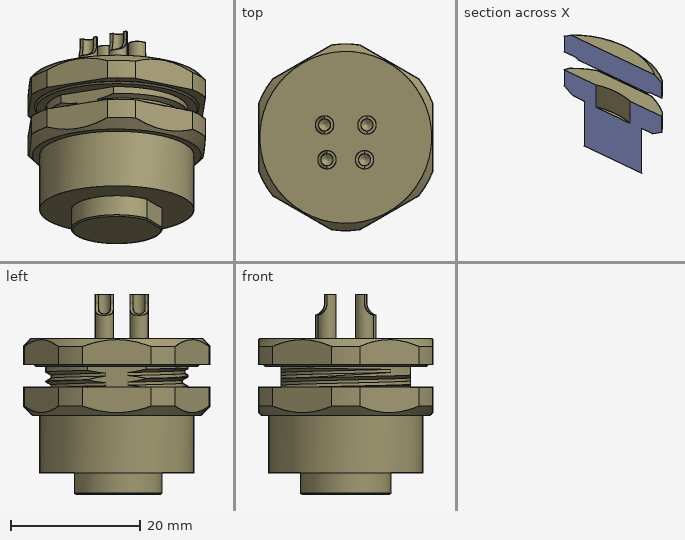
import cadquery as cq
import math

BODY_BOTTOM = 3.3
NUT_BOTTOM = 12.2
NUT_TOP = 16.6
FLANGE_BOTTOM = 20.1
FLANGE_TOP = 24.15
PIN_TOP = 30.95

SPIGOT_RADIUS = 7.03
SPIGOT_FLAT_Y = 6.55
SPIGOT_CHAMFER = 0.22

BODY_RADIUS = 11.95

ACROSS_FLATS = 27.0
CORNER_RADIUS = 14.5
NUT_CHAMFER_HEIGHT = 1.45
NUT_CHAMFER_WIDTH = 1.42
FLANGE_CHAMFER_HEIGHT = 1.25
FLANGE_CHAMFER_WIDTH = 1.18

SEAL_RADIUS = 12.75
SEAL_HEIGHT = 0.3
SEAL_CHAMFER = 0.28

THREAD_RADIUS = 11.02
NECK_ACROSS_FLATS = 20.05
PITCH = 1.5
GROOVE_DEPTH = 0.85
GROOVE_ROOT_WIDTH = 0.45
FLANK_ANGLE = 30.0
GROOVE_OVERSHOOT = 0.03
GROOVE_START_ANGLE = -540.0
RUNOUT_START_ANGLE = 239.0
RUNOUT_END_ANGLE = 309.0
GROOVE_REFERENCE_ANGLE = 180.0
GROOVE_REFERENCE_Z = 18.57
SPLINE_STEP_ANGLE = 15.0

PIN_RADIUS = 1.42
CUP_RADIUS = 0.93
CUP_DEPTH = 4.02
CUP_TIP_ANGLE = 118.0
CUTAWAY_HEIGHT = 1.35
CUTAWAY_RADIUS = 1.95
FRONT_PIN_X = 2.9
FRONT_PIN_Y = -3.47
BACK_PIN_X = 3.28
BACK_PIN_Y = 1.92


def cylinder(radius, bottom, top):
    return cq.Workplane("XY").workplane(offset=bottom).circle(radius).extrude(top - bottom)


def hexagon(bottom, top, chamfered_face, chamfer_height, chamfer_width):
    """Hexagon with flats facing +X and -X, cut back to a chamfered round blank."""
    corner_to_corner = ACROSS_FLATS / math.cos(math.radians(30))
    prism = (
        cq.Workplane("XY")
        .workplane(offset=bottom)
        .transformed(rotate=(0, 0, 30))
        .polygon(6, corner_to_corner)
        .extrude(top - bottom)
    )
    blank = cylinder(CORNER_RADIUS, bottom, top)
    blank = blank.faces(chamfered_face).chamfer(chamfer_height, chamfer_width)
    return prism.intersect(blank)


def groove_corners(angle):
    """Corners of the groove section at an angle; it moves outward along the runout."""
    runout = max(0.0, (angle - RUNOUT_START_ANGLE) / (RUNOUT_END_ANGLE - RUNOUT_START_ANGLE))
    root = THREAD_RADIUS - GROOVE_DEPTH * (1 - runout)
    section_depth = GROOVE_DEPTH + GROOVE_OVERSHOOT
    mouth = root + section_depth
    root_half = GROOVE_ROOT_WIDTH / 2
    mouth_half = root_half + section_depth * math.tan(math.radians(FLANK_ANGLE))
    middle = GROOVE_REFERENCE_Z + PITCH * (angle - GROOVE_REFERENCE_ANGLE) / 360
    across = math.cos(math.radians(angle))
    along = math.sin(math.radians(angle))
    section = [(root, -root_half), (root, root_half), (mouth, mouth_half), (mouth, -mouth_half)]
    return [cq.Vector(r * across, r * along, middle + dz) for r, dz in section]


def groove_segment(start_angle, end_angle):
    """Solid swept by the groove section between two angles."""
    steps = math.ceil((end_angle - start_angle) / SPLINE_STEP_ANGLE)
    angles = [start_angle + (end_angle - start_angle) * i / steps for i in range(steps + 1)]
    sections = [groove_corners(angle) for angle in angles]
    rails = [cq.Edge.makeSpline(list(corner_path)) for corner_path in zip(*sections)]
    faces = [cq.Face.makeRuledSurface(rails[i - 1], rails[i]) for i in range(len(rails))]
    for end in (sections[0], sections[-1]):
        faces.append(cq.Face.makeFromWires(cq.Wire.makePolygon(end, close=True)))
    return cq.Solid.makeSolid(cq.Shell.makeShell(faces)).fix()


def slab_between_flats(bottom, top):
    outline = cq.Workplane("XY").workplane(offset=bottom).rect(NECK_ACROSS_FLATS, ACROSS_FLATS)
    return outline.extrude(top - bottom)


def threaded_neck():
    neck = cylinder(THREAD_RADIUS, NUT_BOTTOM, FLANGE_BOTTOM)
    neck = neck.cut(cq.Workplane(groove_segment(GROOVE_START_ANGLE, RUNOUT_START_ANGLE)))
    neck = neck.cut(cq.Workplane(groove_segment(RUNOUT_START_ANGLE, RUNOUT_END_ANGLE)))
    return neck.intersect(slab_between_flats(NUT_BOTTOM, FLANGE_BOTTOM))


def nut():
    """Nut filled by the neck, except for the gaps between its round bore and the neck flats."""
    blank = hexagon(NUT_BOTTOM, NUT_TOP, "<Z", NUT_CHAMFER_HEIGHT, NUT_CHAMFER_WIDTH)
    bore = cylinder(THREAD_RADIUS, NUT_BOTTOM, NUT_TOP)
    return blank.cut(bore.cut(slab_between_flats(NUT_BOTTOM, NUT_TOP)))


def spigot():
    flat_side = cq.Workplane("XY").rect(2 * SPIGOT_RADIUS, 2 * SPIGOT_RADIUS)
    flat_side = flat_side.extrude(BODY_BOTTOM).translate((0, SPIGOT_FLAT_Y - SPIGOT_RADIUS, 0))
    round_part = cylinder(SPIGOT_RADIUS, 0, BODY_BOTTOM)
    return round_part.intersect(flat_side).faces("<Z").chamfer(SPIGOT_CHAMFER)


def solder_pin(x, y):
    """Pin with a drilled solder cup whose outward half is cut away at the top."""
    outward = math.copysign(1, x)
    tip_depth = CUP_RADIUS / math.tan(math.radians(CUP_TIP_ANGLE / 2))
    cup_bottom = PIN_TOP - CUP_DEPTH
    cup = (
        cq.Workplane("XZ")
        .moveTo(0, PIN_TOP)
        .lineTo(CUP_RADIUS, PIN_TOP)
        .lineTo(CUP_RADIUS, cup_bottom)
        .lineTo(0, cup_bottom - tip_depth)
        .close()
        .revolve(360, (0, 0), (0, 1))
    )
    step = PIN_TOP - CUTAWAY_HEIGHT
    cutaway = (
        cq.Workplane("XZ")
        .moveTo(0, PIN_TOP)
        .lineTo(0, step)
        .radiusArc((outward * CUTAWAY_RADIUS, step - CUTAWAY_RADIUS), -outward * CUTAWAY_RADIUS)
        .lineTo(outward * CUTAWAY_RADIUS, PIN_TOP)
        .close()
        .extrude(PIN_RADIUS, both=True)
    )
    pin = cylinder(PIN_RADIUS, FLANGE_TOP, PIN_TOP).cut(cup).cut(cutaway)
    return pin.translate((x, y, 0))


body = cylinder(BODY_RADIUS, BODY_BOTTOM, NUT_BOTTOM)
flange = hexagon(FLANGE_BOTTOM, FLANGE_TOP, ">Z", FLANGE_CHAMFER_HEIGHT, FLANGE_CHAMFER_WIDTH)
seal = cylinder(SEAL_RADIUS, FLANGE_BOTTOM - SEAL_HEIGHT, FLANGE_BOTTOM)
seal = seal.faces("<Z").chamfer(SEAL_CHAMFER)

result = threaded_neck().union(nut()).union(seal).union(flange).union(body).union(spigot())
for side in (-1, 1):
    result = result.union(solder_pin(side * FRONT_PIN_X, FRONT_PIN_Y))
    result = result.union(solder_pin(side * BACK_PIN_X, BACK_PIN_Y))